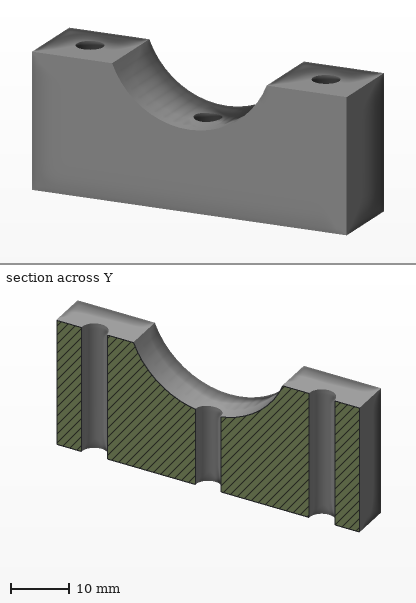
import cadquery as cq

length = 60.0
width = 15.0
height = 25.0

saddle_radius = 15.85
saddle_depth = 10.0

hole_diameter = 5.0
hole_spacing = 22.5


def make_block():
    return cq.Workplane("XY").box(length, width, height, centered=(True, True, False))


def make_saddle_cutter():
    axis_height = height - saddle_depth + saddle_radius
    return (
        cq.Workplane("XZ")
        .center(0, axis_height)
        .circle(saddle_radius)
        .extrude(width / 2, both=True)
    )


def make_hole_cutters():
    hole_positions = [(side * hole_spacing, 0) for side in (-1, 0, 1)]
    return (
        cq.Workplane("XY")
        .pushPoints(hole_positions)
        .circle(hole_diameter / 2)
        .extrude(height)
    )


result = make_block().cut(make_saddle_cutter()).cut(make_hole_cutters())